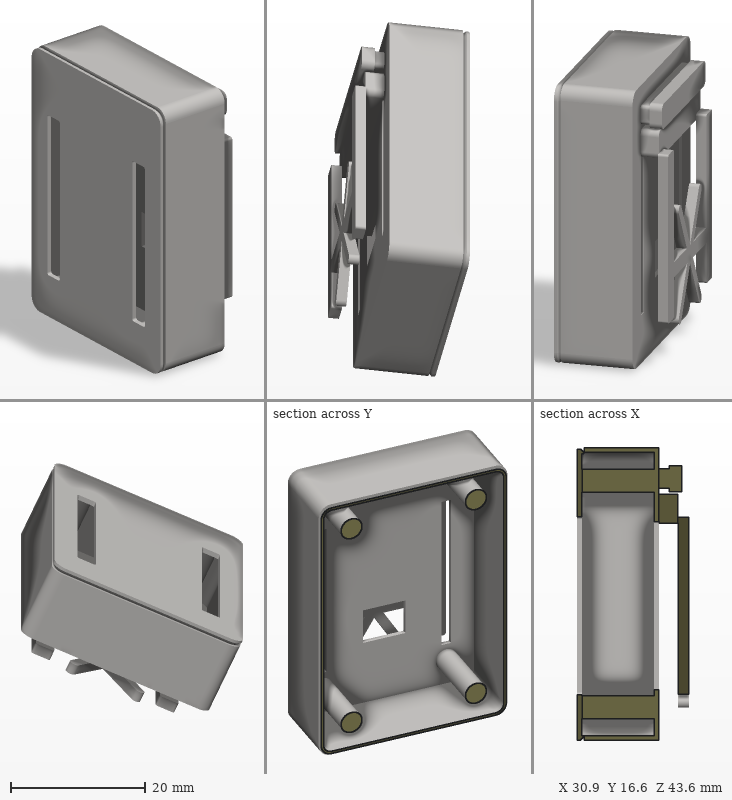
import cadquery as cq
import math


WIDTH = 30.85
HEIGHT = 43.6
CORNER_RADIUS = 2.0
WALL = 0.75
HOUSING_FRONT = 1.0
HOUSING_REAR = 12.2
COVER_BEVEL = 0.52
COVER_PANEL = WALL
COVER_TOP_GAP = 0.17

SLOT_X = 10.15
SLOT_Z = -1.75
SLOT_WIDTH = 3.0
SLOT_HEIGHT = 26.45
SLOT_CORNER_RADIUS = 0.35
REAR_SLOT_WIDTH = SLOT_WIDTH - 2 * WALL
REAR_SLOT_HEIGHT = SLOT_HEIGHT - 2 * WALL

WINDOW_WIDTH = 7.0
WINDOW_HEIGHT = 5.65
WINDOW_Z = -7.8
POST_DIAMETER = 3.5
POST_Z = 16.9

BAR_Z = 17.2
BAR_HEAD_WIDTH = 23.2
BAR_HEAD_HEIGHT = 3.93
BAR_HEAD_RADIUS = 1.0
BAR_STEP = 0.5
BAR_SPLIT_X = -6.8
BAR_STEM_END = 13.7
BAR_HEAD_END = 15.65

SPACER_WIDTH = BAR_HEAD_WIDTH - 2 * BAR_STEP
SPACER_HEIGHT = 4.35
SPACER_Z = 12.7
SPACER_RADIUS = 0.9

CLIP_FRONT = 15.05
CLIP_REAR = 16.65
CROSSBAR_TOP = -6.25
CROSSBAR_HEIGHT = 2.35
ARM_WIDTH = 1.53
ARM_X = 5.3
ARM_BOTTOM_Z = -16.2
CROSS_Z = -7.65
ARM_TOP_Z = 2 * CROSS_Z - ARM_BOTTOM_Z


def block(width, height, y_front, y_rear, x=0.0, z=0.0):
    """Box given by its size and centre in XZ and by its Y range."""
    depth = y_rear - y_front
    return cq.Workplane("XY").box(width, depth, height).translate((x, (y_front + y_rear) / 2, z))


def rounded_block(width, height, radius, y_front, y_rear, x=0.0, z=0.0):
    """Box with its four edges along Y rounded."""
    return block(width, height, y_front, y_rear, x, z).edges("|Y").fillet(radius)


def cylinder(diameter, y_front, y_rear, x, z):
    """Cylinder along Y."""
    plane = cq.Plane(origin=(x, y_front, z), xDir=(1, 0, 0), normal=(0, 1, 0))
    return cq.Workplane(plane).circle(diameter / 2).extrude(y_rear - y_front)


def make_housing():
    """Box open at the front, with corner posts, two rear slots and a rear window."""
    inner_rear = HOUSING_REAR - WALL
    body = rounded_block(WIDTH, HEIGHT, CORNER_RADIUS, HOUSING_FRONT, HOUSING_REAR)
    cavity = rounded_block(
        WIDTH - 2 * WALL, HEIGHT - 2 * WALL, CORNER_RADIUS - WALL, HOUSING_FRONT, inner_rear
    )
    body = body.cut(cavity)
    for side in (-1, 1):
        for level in (-1, 1):
            post = cylinder(POST_DIAMETER, COVER_PANEL, HOUSING_REAR, side * SLOT_X, level * POST_Z)
            body = body.union(post)
        body = body.cut(
            block(REAR_SLOT_WIDTH, REAR_SLOT_HEIGHT, inner_rear, HOUSING_REAR, side * SLOT_X, SLOT_Z)
        )
    return body.cut(block(WINDOW_WIDTH, WINDOW_HEIGHT, inner_rear, HOUSING_REAR, 0, WINDOW_Z))


def make_cover():
    """Front cover with a bevelled rear rim, a recessed inner face and two slots."""
    height = HEIGHT - COVER_TOP_GAP
    z = -COVER_TOP_GAP / 2
    body = rounded_block(WIDTH, height, CORNER_RADIUS, 0, HOUSING_FRONT, z=z)
    body = body.faces(">Y").chamfer(COVER_BEVEL)
    recess = rounded_block(
        WIDTH - 2 * WALL, height - 2 * WALL, CORNER_RADIUS - WALL, COVER_PANEL, HOUSING_FRONT, z=z
    )
    body = body.cut(recess)
    for side in (-1, 1):
        body = body.cut(
            rounded_block(
                SLOT_WIDTH, SLOT_HEIGHT, SLOT_CORNER_RADIUS, 0, HOUSING_FRONT, side * SLOT_X, SLOT_Z
            )
        )
    return body


def make_button(x_left, x_right):
    """Part of the stepped button bar between two X positions."""
    stem = rounded_block(
        BAR_HEAD_WIDTH - 2 * BAR_STEP,
        BAR_HEAD_HEIGHT - 2 * BAR_STEP,
        BAR_HEAD_RADIUS - BAR_STEP,
        HOUSING_REAR,
        BAR_STEM_END,
        z=BAR_Z,
    )
    head = rounded_block(
        BAR_HEAD_WIDTH, BAR_HEAD_HEIGHT, BAR_HEAD_RADIUS, BAR_STEM_END, BAR_HEAD_END, z=BAR_Z
    )
    span = block(
        x_right - x_left, BAR_HEAD_HEIGHT, HOUSING_REAR, BAR_HEAD_END, (x_left + x_right) / 2, BAR_Z
    )
    return stem.union(head).intersect(span)


def make_spacer():
    """Rounded bar that carries the upper end of the clip."""
    return rounded_block(
        SPACER_WIDTH, SPACER_HEIGHT, SPACER_RADIUS, HOUSING_REAR, CLIP_FRONT, z=SPACER_Z
    )


def make_arm(x_end, z_end):
    """Straight arm from the centre of the cross to a rounded end."""
    length = math.hypot(x_end, z_end - CROSS_Z)
    angle = math.degrees(math.atan2(z_end - CROSS_Z, x_end))
    bar = block(length, ARM_WIDTH, CLIP_FRONT, CLIP_REAR, length / 2)
    bar = bar.union(cylinder(ARM_WIDTH, CLIP_FRONT, CLIP_REAR, length, 0))
    return bar.rotate((0, 0, 0), (0, 1, 0), -angle).translate((0, 0, CROSS_Z))


def make_clip():
    """Flat clip: two legs in line with the slots, joined to a central cross."""
    body = block(
        2 * SLOT_X, CROSSBAR_HEIGHT, CLIP_FRONT, CLIP_REAR, z=CROSSBAR_TOP - CROSSBAR_HEIGHT / 2
    )
    for side in (-1, 1):
        body = body.union(
            rounded_block(
                SLOT_WIDTH, SLOT_HEIGHT, SLOT_CORNER_RADIUS, CLIP_FRONT, CLIP_REAR, side * SLOT_X, SLOT_Z
            )
        )
        body = body.union(make_arm(side * ARM_X, ARM_TOP_Z))
        body = body.union(make_arm(side * ARM_X, ARM_BOTTOM_Z))
    return body


housing = make_housing()
cover = make_cover()
left_button = make_button(-BAR_HEAD_WIDTH / 2, BAR_SPLIT_X)
right_button = make_button(BAR_SPLIT_X, BAR_HEAD_WIDTH / 2)
spacer = make_spacer()
clip = make_clip()

result = cq.Compound.makeCompound(
    [
        housing.val(),
        cover.val(),
        left_button.val(),
        right_button.val(),
        spacer.val(),
        clip.val(),
    ]
)